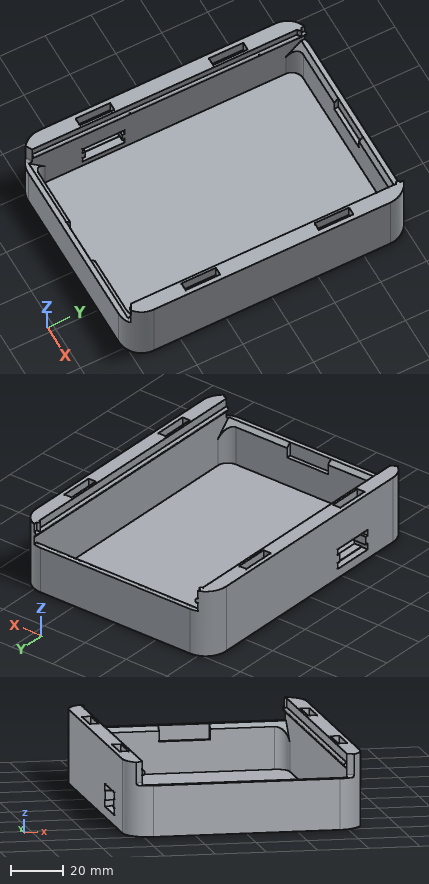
import cadquery as cq
import math

BODY_X = 93.0
BODY_Y = 123.0
BODY_Z = 29.0
CORNER_R = 10.0

SIDE_WALL = 6.5
END_WALL = 4.0
FLOOR_Z = 1.5
CAVITY_R = 5.0
CAVITY_X = BODY_X - 2 * SIDE_WALL
CAVITY_Y = BODY_Y - 2 * END_WALL

RIM_Z = 20.0
LIP = 2.2
CHAMFER_DROP = 1.8
FLARE_START = 3.6
FLARE_ANGLE = 30.0
FLARE_FILLET = 1.0

RAIL_R = 1.0
RAIL_Z = 24.5
STOP_R = 0.9
STOP_INSET = 3.0

NOTCH_X = 20.0
NOTCH_Z = 14.0

POCKET_X = 3.5
POCKET_Y = 15.0
POCKET_DEPTH = 5.0
POCKET_INSET = 3.75
POCKET_OFFSET_Y = 29.0

PORT_Y = -26.7
PORT_Z = 8.6
PORT_LENGTH = 18.5
PORT_HEIGHT = 8.8
TAB_LENGTH = 1.25
TAB_HEIGHT = 3.6
SILL_HEIGHT = 0.2
SILL_INSET = 3.0


def make_body():
    block = cq.Workplane("XY").box(BODY_X, BODY_Y, BODY_Z, centered=(True, True, False))
    return block.edges("|Z").fillet(CORNER_R)


def make_cavity():
    cavity = cq.Workplane("XY").workplane(offset=FLOOR_Z)
    cavity = cavity.rect(CAVITY_X, CAVITY_Y).extrude(BODY_Z)
    return cavity.edges("|Z").fillet(CAVITY_R)


def make_lid_channel():
    """Straight channel over the full length, flaring out to both sides at the front."""
    half_x = CAVITY_X / 2
    outer_x = BODY_X / 2
    flare_y = FLARE_START - BODY_Y / 2
    front_y = flare_y - (outer_x - half_x) * math.tan(math.radians(FLARE_ANGLE))
    outline = [
        (half_x, BODY_Y / 2),
        (half_x, flare_y),
        (outer_x, front_y),
        (outer_x, -BODY_Y),
        (-outer_x, -BODY_Y),
        (-outer_x, front_y),
        (-half_x, flare_y),
        (-half_x, BODY_Y / 2),
    ]
    channel = cq.Workplane("XY").workplane(offset=RIM_Z).polyline(outline).close().extrude(BODY_Z)
    flare_middle_x = (half_x + outer_x) / 2
    flare_middle_y = (flare_y + front_y) / 2
    for side in (-1, 1):
        foot = cq.selectors.NearestToPointSelector((side * flare_middle_x, flare_middle_y, RIM_Z))
        channel = channel.edges(foot).fillet(FLARE_FILLET)
    return channel


def make_rim_slopes():
    """Wedges that slope the rims of both end walls down into the cavity.

    The slopes run on past the wall faces to the ends of the cavity's rounded corners.
    """
    lip_y = BODY_Y / 2 - LIP
    slope_end_y = CAVITY_Y / 2 - CAVITY_R
    drop = CHAMFER_DROP * (lip_y - slope_end_y) / (END_WALL - LIP)
    outline = [
        (-lip_y, RIM_Z),
        (lip_y, RIM_Z),
        (slope_end_y, RIM_Z - drop),
        (-slope_end_y, RIM_Z - drop),
    ]
    slopes = cq.Workplane("YZ").polyline(outline).close()
    return slopes.extrude(CAVITY_X / 2, both=True)


def make_latch_notches():
    length = BODY_Y - 2 * LIP
    notches = cq.Workplane("XY").workplane(offset=NOTCH_Z)
    return notches.rect(NOTCH_X, length).extrude(RIM_Z - NOTCH_Z)


def make_rails_and_stops():
    """Round rails along the side walls, with upright lid stops above them near the rear."""
    flare_y = FLARE_START - BODY_Y / 2
    wall_x = CAVITY_X / 2
    rails = cq.Workplane("XZ", origin=(0, flare_y, 0))
    rails = rails.pushPoints([(-wall_x, RAIL_Z), (wall_x, RAIL_Z)]).circle(RAIL_R)
    rails = rails.extrude(-BODY_Y)
    stop_y = BODY_Y / 2 - STOP_INSET
    stops = cq.Workplane("XY").workplane(offset=RAIL_Z)
    stops = stops.pushPoints([(-wall_x, stop_y), (wall_x, stop_y)]).circle(STOP_R)
    stops = stops.extrude(BODY_Z - RAIL_Z)
    return rails.union(stops).intersect(make_body())


def make_top_pockets():
    pocket_x = BODY_X / 2 - POCKET_INSET
    centers = [(x, y) for x in (-pocket_x, pocket_x) for y in (-POCKET_OFFSET_Y, POCKET_OFFSET_Y)]
    pockets = cq.Workplane("XY").workplane(offset=BODY_Z - POCKET_DEPTH)
    return pockets.pushPoints(centers).rect(POCKET_X, POCKET_Y).extrude(POCKET_DEPTH)


def make_port():
    """Opening through the -X wall, narrowed by the end tabs and by a low sill on its inner side."""
    outer_face = cq.Workplane("YZ", origin=(-BODY_X / 2, PORT_Y, PORT_Z))
    port = outer_face.rect(PORT_LENGTH, PORT_HEIGHT).extrude(SIDE_WALL)
    tab_y = (PORT_LENGTH - TAB_LENGTH) / 2
    tabs = outer_face.pushPoints([(-tab_y, 0), (tab_y, 0)]).rect(TAB_LENGTH, TAB_HEIGHT)
    tabs = tabs.extrude(SIDE_WALL)
    sill_z = (SILL_HEIGHT - PORT_HEIGHT) / 2
    sill = outer_face.workplane(offset=SILL_INSET).center(0, sill_z).rect(PORT_LENGTH, SILL_HEIGHT)
    sill = sill.extrude(SIDE_WALL - SILL_INSET)
    return port.cut(tabs).cut(sill)


result = (
    make_body()
    .cut(make_cavity())
    .cut(make_lid_channel())
    .cut(make_rim_slopes())
    .cut(make_latch_notches())
    .union(make_rails_and_stops())
    .cut(make_top_pockets())
    .cut(make_port())
)